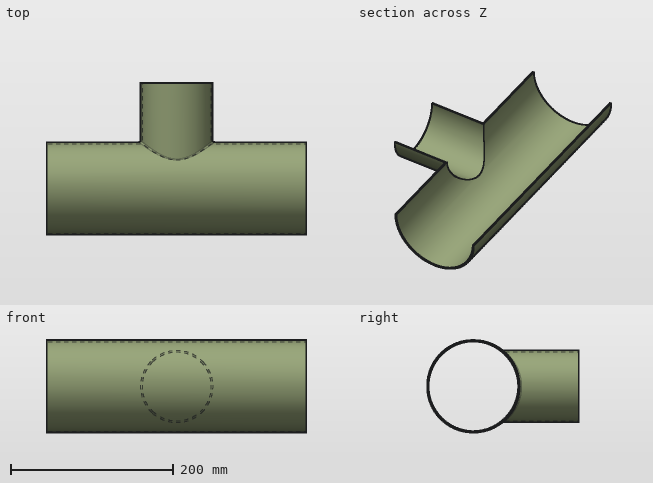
import cadquery as cq

WALL = 2.0
RUN_DIAMETER = 114.3
RUN_LENGTH = 320.0
BRANCH_DIAMETER = 88.9
BRANCH_REACH = 130.0
SEAM_RADIUS = 2.0


def run_cylinder(diameter):
    """Cylinder along X, centred on the origin."""
    return cq.Workplane("YZ").circle(diameter / 2).extrude(RUN_LENGTH / 2, both=True)


def branch_cylinder(diameter):
    """Cylinder along +Y, from the run axis to the open end of the branch."""
    return cq.Workplane("XZ").circle(diameter / 2).extrude(-BRANCH_REACH)


def bore(outside_diameter):
    """Inside diameter of a tube with the common wall thickness."""
    return outside_diameter - 2 * WALL


def seam_region():
    """Box that holds the curve where the branch leaves the run, on the +Y half of the run."""
    half_width = BRANCH_DIAMETER / 2
    near_corner = (-half_width, WALL, -half_width)
    far_corner = (half_width, RUN_DIAMETER / 2, half_width)
    return cq.selectors.BoxSelector(near_corner, far_corner)


outside = run_cylinder(RUN_DIAMETER).union(branch_cylinder(BRANCH_DIAMETER))
outside = outside.edges(seam_region()).fillet(SEAM_RADIUS)

inside = run_cylinder(bore(RUN_DIAMETER)).union(branch_cylinder(bore(BRANCH_DIAMETER)))

result = outside.cut(inside)